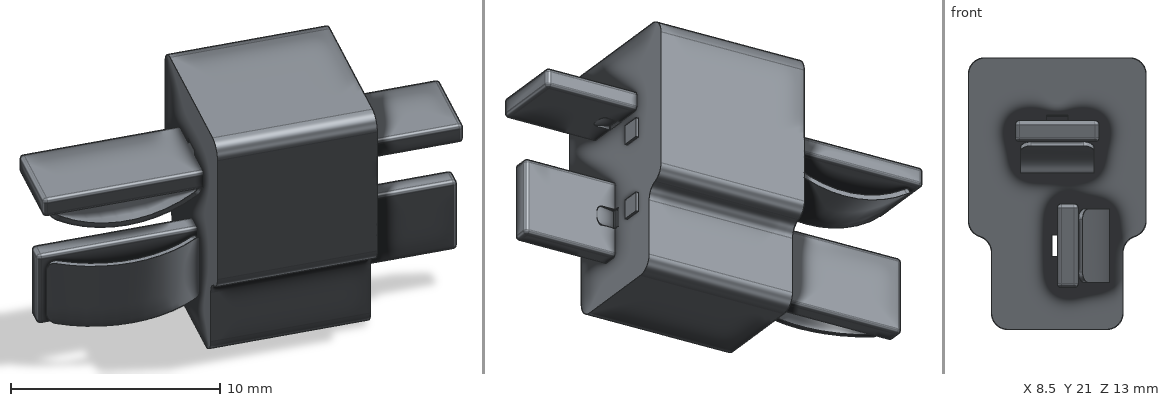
import cadquery as cq
import math


HOUSING_WIDTH = 8.5
FOOT_WIDTH = 6.3
HOUSING_HEIGHT = 13.0
HOUSING_DEPTH = 8.0
CORNER_RADIUS = 0.8
SHOULDER_TOP = 5.2

PAD_SIZE = 1.0
PAD_HEIGHT = 0.13
PAD_CENTER_X = -1.64
UPPER_PAD_Z = 7.98

BLADE_LENGTH = 21.0
BLADE_WIDTH = 4.01
BLADE_THICKNESS = 1.0
BLADE_EDGE_RADIUS = 0.2
BLADE_FRONT_REACH = 8.0
UPPER_BLADE_CENTER = (0, 0, 9.5)
LOWER_BLADE_CENTER = (BLADE_THICKNESS / 2, 0, 4.01)

BARB_WIDTH = 1.0
BARB_HEIGHT = 0.2
BARB_TIP_INSET = 0.05
BARB_REACH = 1.0
BARB_CORNER_RADIUS = 0.32

SLOT_HEIGHT = 0.25

SPRING_WIDTH = 3.53
SPRING_THICKNESS = 0.25
SPRING_SAG = 1.24
SPRING_HALF_CHORD = 3.74
SPRING_CENTER_Y = -3.74
SPRING_CORNER_RADIUS = 0.5


def make_housing_block():
    """Stepped housing with rounded corners and an S-curved shoulder on each side."""
    half_width = HOUSING_WIDTH / 2
    half_foot = FOOT_WIDTH / 2
    r = CORNER_RADIUS
    shoulder_angle = math.acos(1 - (half_width - half_foot) / (2 * r))
    shoulder_drop = 2 * r * math.sin(shoulder_angle)
    shoulder_middle = ((half_width + half_foot) / 2, SHOULDER_TOP - shoulder_drop / 2)
    shoulder_bottom = (half_foot, SHOULDER_TOP - shoulder_drop)
    return (
        cq.Workplane("XZ")
        .moveTo(0, HOUSING_HEIGHT)
        .lineTo(half_width - r, HOUSING_HEIGHT)
        .tangentArcPoint((half_width, HOUSING_HEIGHT - r), relative=False)
        .lineTo(half_width, SHOULDER_TOP)
        .tangentArcPoint(shoulder_middle, relative=False)
        .tangentArcPoint(shoulder_bottom, relative=False)
        .lineTo(half_foot, r)
        .tangentArcPoint((half_foot - r, 0), relative=False)
        .lineTo(0, 0)
        .mirrorY()
        .extrude(-HOUSING_DEPTH)
    )


def make_pads():
    """Two square pads on the back face, one level with the lower blade."""
    pad_places = [(PAD_CENTER_X, UPPER_PAD_Z), (PAD_CENTER_X, LOWER_BLADE_CENTER[2])]
    return (
        cq.Workplane("XZ", origin=(0, HOUSING_DEPTH, 0))
        .pushPoints(pad_places)
        .rect(PAD_SIZE, PAD_SIZE)
        .extrude(-PAD_HEIGHT)
    )


def make_barb_wedge():
    """Ramp rising toward the front from the upper face of a flat blade, rounded at its thin end."""
    tip_y = HOUSING_DEPTH - BARB_TIP_INSET
    end_y = HOUSING_DEPTH + BARB_REACH
    base_z = BLADE_THICKNESS / 2
    ramp = (
        cq.Workplane("YZ")
        .polyline([(tip_y, base_z), (end_y, base_z), (tip_y, base_z + BARB_HEIGHT)])
        .close()
        .extrude(BARB_WIDTH / 2, both=True)
    )
    plan = (
        cq.Workplane("XY", origin=(0, (tip_y + end_y) / 2, base_z))
        .rect(BARB_WIDTH, end_y - tip_y)
        .extrude(BARB_HEIGHT)
        .edges("|Z and >Y")
        .fillet(BARB_CORNER_RADIUS)
    )
    return ramp.intersect(plan)


def make_blade():
    """Flat blade along Y with rounded edges, centred on the Y axis."""
    bar = (
        cq.Workplane("XY", origin=(0, BLADE_LENGTH / 2 - BLADE_FRONT_REACH, 0))
        .box(BLADE_WIDTH, BLADE_LENGTH, BLADE_THICKNESS)
        .edges()
        .fillet(BLADE_EDGE_RADIUS)
    )
    wedge = make_barb_wedge()
    dent = wedge.translate((0, 0, -BLADE_THICKNESS))
    return bar.union(wedge).cut(dent)


def make_spring():
    """Leaf spring bowed downward below a flat blade, its inner tips touching the blade."""
    inner_radius = (SPRING_HALF_CHORD**2 + SPRING_SAG**2) / (2 * SPRING_SAG)
    outer_radius = inner_radius + SPRING_THICKNESS
    half_angle = math.asin(SPRING_HALF_CHORD / inner_radius)
    bow_center_z = inner_radius - SPRING_SAG - BLADE_THICKNESS / 2

    def arc_point(radius, angle):
        return (SPRING_CENTER_Y + radius * math.sin(angle), bow_center_z - radius * math.cos(angle))

    leaf = (
        cq.Workplane("YZ")
        .moveTo(*arc_point(inner_radius, -half_angle))
        .threePointArc(arc_point(inner_radius, 0), arc_point(inner_radius, half_angle))
        .lineTo(*arc_point(outer_radius, half_angle))
        .threePointArc(arc_point(outer_radius, 0), arc_point(outer_radius, -half_angle))
        .close()
        .extrude(SPRING_WIDTH / 2, both=True)
    )

    tip_edges = []
    for side in (-1, 1):
        tip_y, tip_z = arc_point(inner_radius + SPRING_THICKNESS / 2, side * half_angle)
        for x in (-SPRING_WIDTH / 2, SPRING_WIDTH / 2):
            tip_edges.append(leaf.edges(cq.NearestToPointSelector((x, tip_y, tip_z))).val())
    rounded = leaf.val().fillet(SPRING_CORNER_RADIUS, tip_edges)
    return cq.Workplane(rounded)


def make_slot():
    """Clearance slot along the upper face of a flat blade, through the whole housing."""
    return cq.Workplane("XY").box(
        BARB_WIDTH, HOUSING_DEPTH, BLADE_THICKNESS / 2 + SLOT_HEIGHT, centered=(True, False, False)
    )


def place_upper(body):
    """Move a body from the Y axis to the upper, horizontal blade position."""
    return body.translate(UPPER_BLADE_CENTER)


def place_lower(body, turn):
    """Turn a body about the Y axis and move it to the lower, upright blade position."""
    return body.rotate((0, 0, 0), (0, 1, 0), turn).translate(LOWER_BLADE_CENTER)


blades = [place_upper(make_blade()), place_lower(make_blade(), 90)]
springs = [place_upper(make_spring()), place_lower(make_spring(), -90)]
slots = [place_upper(make_slot()), place_lower(make_slot(), -90)]

housing = make_housing_block().union(make_pads())
for insert in blades + springs + slots:
    housing = housing.cut(insert)

result = cq.Compound.makeCompound([body.solids().val() for body in [housing] + blades + springs])